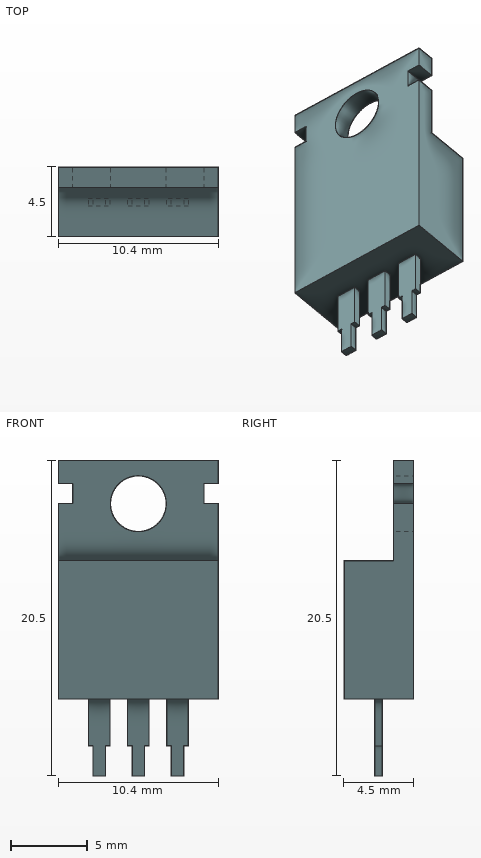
import cadquery as cq

width = 10.4
depth = 4.5
height = 20.5

tab_thickness = 1.31
tab_height = 6.5
hole_diameter = 3.6
hole_from_top = 2.8
notch_depth = 0.92
notch_height = 1.3
notch_from_top = 1.5

lead_count = 3
lead_pitch = 2.55
lead_length = 5.0
lead_thickness = 0.5
lead_from_back = 2.03
lead_shoulder_width = 1.41
lead_shoulder_length = 3.03
lead_tip_width = 0.82

body_bottom = lead_length
body_top = height - tab_height
body_height = body_top - body_bottom
tab_center_y = -tab_thickness / 2
lead_center_y = -lead_from_back - lead_thickness / 2


def upright_block(x_size, y_size, z_size, center_x, center_y, bottom):
    """Block centred on (center_x, center_y) and standing on the height `bottom`."""
    block = cq.Workplane("XY").box(x_size, y_size, z_size, centered=(True, True, False))
    return block.translate((center_x, center_y, bottom))


def make_body():
    return upright_block(width, depth, body_height, 0, -depth / 2, body_bottom)


def make_tab():
    """Plate flush with the back, with a mounting hole and a notch in each side."""
    tab = upright_block(width, tab_thickness, tab_height, 0, tab_center_y, body_top)

    hole = (
        cq.Workplane("XZ")
        .center(0, height - hole_from_top)
        .circle(hole_diameter / 2)
        .extrude(tab_thickness)
    )
    tab = tab.cut(hole)

    notch_bottom = height - notch_from_top - notch_height
    for side in (-1, 1):
        notch = upright_block(
            2 * notch_depth, tab_thickness, notch_height, side * width / 2, tab_center_y, notch_bottom
        )
        tab = tab.cut(notch)
    return tab


def make_lead(center_x):
    """Narrow full-length lead with a wider shoulder next to the body."""
    tip = upright_block(lead_tip_width, lead_thickness, lead_length, center_x, lead_center_y, 0)
    shoulder_bottom = body_bottom - lead_shoulder_length
    shoulder = upright_block(
        lead_shoulder_width, lead_thickness, lead_shoulder_length, center_x, lead_center_y, shoulder_bottom
    )
    return tip.union(shoulder)


result = make_body().union(make_tab())
for index in range(lead_count):
    lead_x = (index - (lead_count - 1) / 2) * lead_pitch
    result = result.union(make_lead(lead_x))

result = result.translate((0, depth / 2, -height / 2))